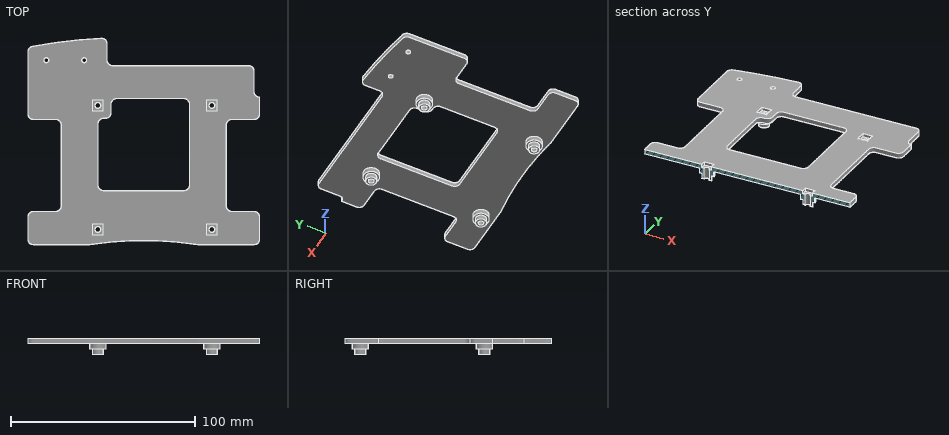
import cadquery as cq

width = 126.0
full_height = 9.0
layer = full_height / 3
thickness = layer
corner_radius = 3.0

waist_depth = 18.1
lower_tab_top = 18.1
upper_tab_bottom = 68.0

wing_width = 43.1
wing_left_height = 107.4
wing_middle_height = 110.8
wing_right_height = 112.4
shoulder_height = 97.4
notch_depth = 3.0
notch_bottom = 80.3
notch_radius = 2.9

arch_span = 58.7
arch_rise = 2.3

window_left = 38.2
window_right = width - window_left
window_bottom = 29.5
window_top = 79.4
land_right = 45.2
land_bottom = 68.7

mount_left = 38.0
mount_spacing_x = 62.0
mount_bottom = 8.3
mount_spacing_y = 67.4
boss_diameter = 9.0
boss_height = layer
pin_diameter = 6.0
pin_height = layer
screw_diameter = 3.0
pocket_size = 5.8
pocket_depth = 2.0

wing_hole_diameter = 2.5
wing_hole_left = 10.1
wing_hole_spacing = 20.5
wing_hole_height = 100.3

mount_points = [
    (mount_left + column * mount_spacing_x, mount_bottom + row * mount_spacing_y)
    for column in range(2)
    for row in range(2)
]
wing_hole_points = [(wing_hole_left + i * wing_hole_spacing, wing_hole_height) for i in range(2)]


def edges_at(x, y):
    """Selector for the upright edge of the plate standing at (x, y)."""
    reach = 0.1
    return cq.selectors.BoxSelector(
        (x - reach, y - reach, 0), (x + reach, y + reach, thickness)
    )


def make_plate():
    """Flat plate on Z = 0 with rounded corners; only the notch tip stays sharp."""
    middle = width / 2
    arch_left = middle - arch_span / 2
    arch_right = middle + arch_span / 2
    waist_right = width - waist_depth
    notch_left = width - notch_depth
    notch_tip = edges_at(width, notch_bottom)
    notch_root = edges_at(notch_left, notch_bottom)
    outline = (
        cq.Workplane("XY")
        .lineTo(arch_left, 0)
        .threePointArc((middle, arch_rise), (arch_right, 0))
        .lineTo(width, 0)
        .lineTo(width, lower_tab_top)
        .lineTo(waist_right, lower_tab_top)
        .lineTo(waist_right, upper_tab_bottom)
        .lineTo(width, upper_tab_bottom)
        .lineTo(width, notch_bottom)
        .lineTo(notch_left, notch_bottom)
        .lineTo(notch_left, shoulder_height)
        .lineTo(wing_width, shoulder_height)
        .lineTo(wing_width, wing_right_height)
        .threePointArc((wing_width / 2, wing_middle_height), (0, wing_left_height))
        .lineTo(0, upper_tab_bottom)
        .lineTo(waist_depth, upper_tab_bottom)
        .lineTo(waist_depth, lower_tab_top)
        .lineTo(0, lower_tab_top)
        .close()
    )
    plate = outline.extrude(thickness)
    rounded = cq.selectors.ParallelDirSelector(cq.Vector(0, 0, 1)) - notch_tip - notch_root
    return plate.edges(rounded).fillet(corner_radius).edges(notch_root).fillet(notch_radius)


def make_window():
    """Cutter for the rounded L-shaped window."""
    return (
        cq.Workplane("XY")
        .moveTo(window_left, window_bottom)
        .lineTo(window_right, window_bottom)
        .lineTo(window_right, window_top)
        .lineTo(land_right, window_top)
        .lineTo(land_right, land_bottom)
        .lineTo(window_left, land_bottom)
        .close()
        .extrude(thickness)
        .edges("|Z")
        .fillet(corner_radius)
    )


def make_bosses():
    """Stepped bosses hanging below the plate at the mounts."""
    bosses = cq.Workplane("XY").pushPoints(mount_points).circle(boss_diameter / 2).extrude(-boss_height)
    pins = (
        cq.Workplane("XY", origin=(0, 0, -boss_height))
        .pushPoints(mount_points)
        .circle(pin_diameter / 2)
        .extrude(-pin_height)
    )
    return bosses.union(pins)


def top_plane():
    """Workplane on the upper face of the plate."""
    return cq.Workplane("XY", origin=(0, 0, thickness))


def make_mount_holes():
    """Nut pockets open at the top, each with a screw hole down through the boss."""
    pockets = top_plane().pushPoints(mount_points).rect(pocket_size, pocket_size).extrude(-pocket_depth)
    screws = top_plane().pushPoints(mount_points).circle(screw_diameter / 2).extrude(-full_height)
    return pockets.union(screws)


def make_wing_holes():
    """Through holes in the raised wing."""
    return top_plane().pushPoints(wing_hole_points).circle(wing_hole_diameter / 2).extrude(-thickness)


result = (
    make_plate()
    .cut(make_window())
    .union(make_bosses())
    .cut(make_mount_holes())
    .cut(make_wing_holes())
)